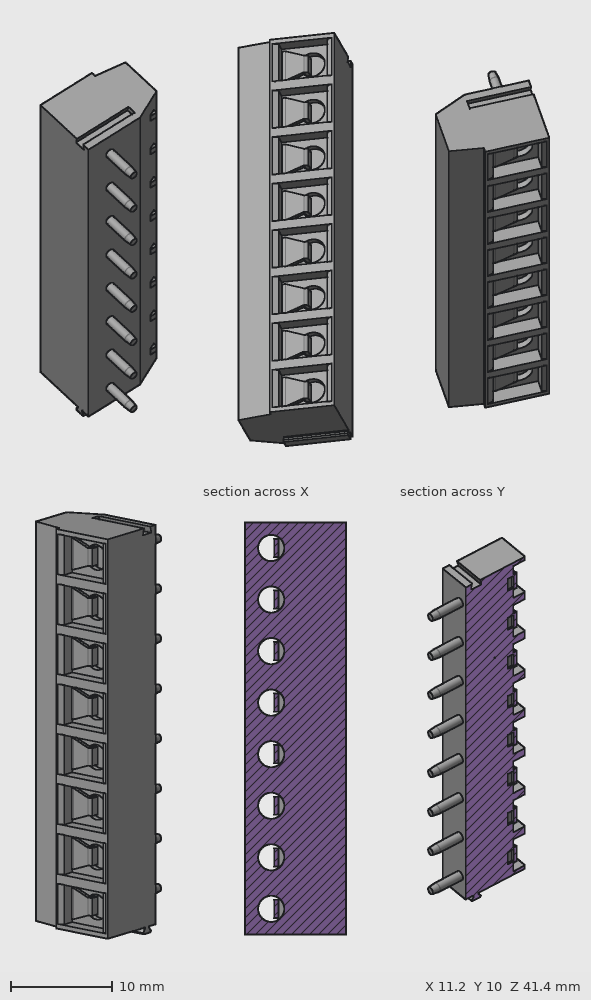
import cadquery as cq
import math

pole_count = 8
overall_length = 41.35
rail_height = 0.65

body_width = 7.5
body_depth = 10.0
body_length = overall_length - rail_height
pitch = body_length / pole_count
shoulder_y = 6.57
shoulder_step = 0.5
rear_left_x = 1.05
rear_right_x = 5.85

pocket_front_y = 0.25
pocket_rear_y = 6.32
pocket_length = 4.1
pocket_depth = 1.45
lip_depth = 0.2
lip_inset_front = 0.5
lip_inset_rear = 0.6

hole_y = 2.6
hole_radius = 1.3
hole_floor_x = 2.15

leaf_thickness = 0.4
leaf_rear_y = 5.65
leaf_bend_y = 3.35
leaf_tail_y = 2.95
leaf_tip_y = 2.85
leaf_tip_x = 2.0
leaf_bend_radius = 0.6
leaf_wide = 3.22
leaf_narrow = 1.8

pin_y = 2.73
pin_radius = 0.5
pin_tip_radius = 0.393
pin_length = 3.7
pin_tip_length = 0.83

rail_x = 6.15
rail_neck_width = 0.6
rail_wide_width = 1.25
rail_foot_width = 1.0
rail_neck_height = 0.12
rail_wide_height = 0.5
groove_depth = 0.65
groove_neck_width = 0.95
groove_wide_width = 1.25

lug_right_x = 6.57
lug_rear_y = 9.42
lug_size = 0.75


def make_housing():
    """Prism with a stepped, tapering cross-section that runs along Z."""
    outline = [
        (0, 0),
        (body_width, 0),
        (body_width, shoulder_y),
        (rear_right_x, body_depth),
        (rear_left_x, body_depth),
        (shoulder_step, shoulder_y),
        (0, shoulder_y),
    ]
    return cq.Workplane("XY").polyline(outline).close().extrude(body_length)


def make_pocket(z):
    """Pocket cutter with bevelled entry and a blind round hole in its floor."""
    inner_front_y = pocket_front_y + lip_inset_front
    inner_rear_y = pocket_rear_y - lip_inset_rear
    section = [
        (0, pocket_front_y),
        (lip_depth, inner_front_y),
        (pocket_depth, inner_front_y),
        (pocket_depth, inner_rear_y),
        (lip_depth, inner_rear_y),
        (0, pocket_rear_y),
    ]
    pocket = (
        cq.Workplane("XY", origin=(0, 0, z - pocket_length / 2))
        .polyline(section).close().extrude(pocket_length)
    )
    hole = (
        cq.Workplane("YZ", origin=(lip_depth, hole_y, z))
        .circle(hole_radius).extrude(hole_floor_x - lip_depth)
    )
    return pocket.union(hole)


def make_leaf(z):
    """Bent leaf with a free tail: its side profile trimmed to a tapering outline."""
    face_x = pocket_depth - leaf_thickness
    bend_rear_y = leaf_rear_y - leaf_thickness
    bend_drop = leaf_bend_y - leaf_tail_y
    bend_end_x = face_x + leaf_bend_radius - math.sqrt(leaf_bend_radius**2 - bend_drop**2)
    profile = (
        cq.Workplane("XY", origin=(0, 0, z - leaf_wide / 2))
        .moveTo(pocket_depth, leaf_rear_y)
        .radiusArc((face_x, bend_rear_y), -leaf_thickness)
        .lineTo(face_x, leaf_bend_y)
        .radiusArc((bend_end_x, leaf_tail_y), -leaf_bend_radius)
        .lineTo(leaf_tip_x, leaf_tip_y)
        .lineTo(leaf_tip_x, leaf_bend_y)
        .lineTo(pocket_depth, leaf_bend_y)
        .close().extrude(leaf_wide)
    )
    half_outline = [
        (leaf_rear_y, leaf_wide / 2),
        (bend_rear_y, leaf_wide / 2),
        (leaf_bend_y, leaf_narrow / 2),
        (leaf_tip_y, leaf_narrow / 2),
    ]
    mirrored = [(y, -half_width) for y, half_width in reversed(half_outline)]
    trim = (
        cq.Workplane("YZ", origin=(0, 0, z))
        .polyline(half_outline + mirrored).close().extrude(body_width)
    )
    return profile.intersect(trim)


def make_pin(z):
    """Straight round pin with a conical tip, sunk into the housing by one radius."""
    root_x = body_width - pin_radius
    taper_x = body_width + pin_length - pin_tip_length
    tip_x = body_width + pin_length
    half_section = [
        (root_x, 0),
        (root_x, pin_radius),
        (taper_x, pin_radius),
        (tip_x, pin_tip_radius),
        (tip_x, 0),
    ]
    return (
        cq.Workplane("XY", origin=(0, pin_y, z))
        .polyline(half_section).close()
        .revolve(360, (0, 0, 0), (1, 0, 0))
    )


def make_lug(z):
    """Square lug that levels out part of the sloped flank."""
    return (
        cq.Workplane("XY")
        .box(lug_size, lug_size, lug_size)
        .translate((lug_right_x - lug_size / 2, lug_rear_y - lug_size / 2, z))
    )


def extrude_along_depth(steps, top_z):
    """Symmetric profile from (width, depth below top_z) steps, run from the front to the shoulder."""
    right = [(rail_x + width / 2, top_z - depth) for width, depth in steps]
    left = [(rail_x - width / 2, top_z - depth) for width, depth in reversed(steps)]
    return cq.Workplane("XZ").polyline(right + left).close().extrude(-shoulder_y)


rail = extrude_along_depth(
    [
        (rail_neck_width, 0),
        (rail_neck_width, rail_neck_height),
        (rail_wide_width, rail_wide_height),
        (rail_foot_width, rail_height),
    ],
    0,
)
groove = extrude_along_depth(
    [
        (groove_neck_width, 0),
        (groove_wide_width, rail_wide_height),
        (groove_wide_width, groove_depth),
    ],
    body_length,
)

result = make_housing().union(rail).cut(groove)
for pole in range(pole_count):
    pole_z = (pole + 0.5) * pitch
    result = result.cut(make_pocket(pole_z))
    result = result.union(make_leaf(pole_z))
    result = result.union(make_pin(pole_z))
    result = result.union(make_lug(pole_z))